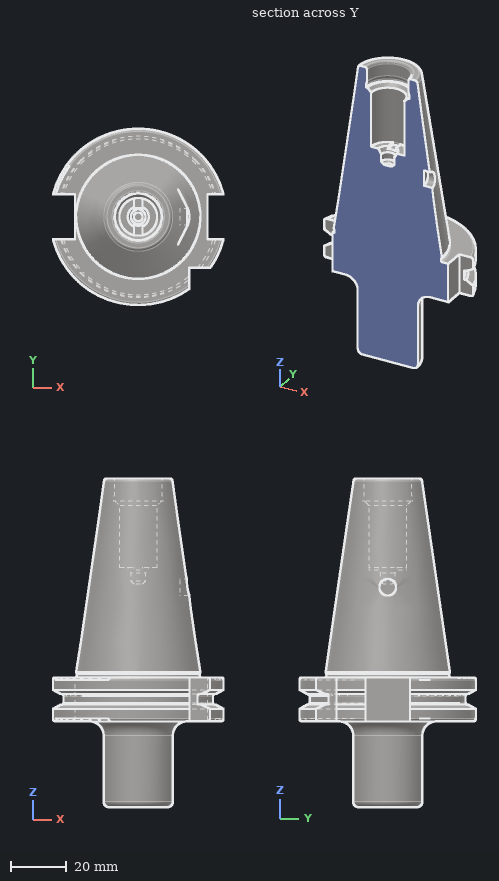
import cadquery as cq
import math


GAUGE_DIA = 44.45
TAPER_RATIO = 7 / 24
TAPER_TOP_Z = 68.4
TAPER_BASE_Z = -1.3
TAPER_TOP_FILLET = 1.2

RELIEF_DIA = 44.3
RELIEF_START_Z = -2.1
RELIEF_ROOT_RADIUS = 0.4

FLANGE_DIA = 63.55
FLANGE_TOP_Z = -3.2
FLANGE_BOTTOM_Z = -19.1
FLANGE_FILLET = 1.0
GROOVE_CENTRE_Z = -11.15
GROOVE_WIDTH = 6.9
GROOVE_STEP_DIA = 58.2
GROOVE_ROOT_DIA = 56.25
GROOVE_ANGLE = 30
GROOVE_ROOT_FILLET = 0.65

SHANK_DIA = 25.0
SHANK_END_Z = -50.0
SHANK_ROOT_FILLET = 5.0
SHANK_END_FILLET = 2.0

SLOT_WIDTH = 16.1
SLOT_FLOOR_LEFT = 22.8
SLOT_FLOOR_RIGHT = 25.0
NOTCH_OFFSET = 18.4

PILOT_DIA = 17.0
PILOT_DEPTH = 5.8
PILOT_MOUTH_FILLET = 0.9
BORE_RELIEF_DIA = 17.8
BORE_RELIEF_START_DEPTH = 7.3
BORE_RELIEF_END_DEPTH = 8.2
COUNTERSINK_DIA = 16.8
THREAD_BORE_DIA = 13.6
THREAD_BORE_DEPTH = 32.0

SEAT_SLOT_WIDTH = 3.2
SEAT_SLOT_DEPTH = 1.0
CENTRE_MOUTH_DIA = 7.6
CENTRE_MOUTH_DEPTH = 2.0
CENTRE_HOLE_DIA = 5.3
CENTRE_FLOOR_DIA = 3.2
CENTRE_HOLE_DEPTH = 6.0

POCKET_DIA = 6.0
POCKET_Z = 29.2
POCKET_DEPTH = 3.0


def taper_radius(z):
    return (GAUGE_DIA - TAPER_RATIO * z) / 2


def revolve_profile(points):
    """Revolve a closed (radius, z) outline about the Z axis."""
    return cq.Workplane("YZ").polyline(points).close().revolve(360, (0, 0, 0), (0, 1, 0))


def circle_edges(body, radius, z):
    """Pick the full-circle edges of a given radius at a given height."""
    tolerance = 1e-3

    def matches(edge):
        box = edge.BoundingBox()
        flat = box.zlen < tolerance and abs(box.center.z - z) < tolerance
        return flat and edge.geomType() == "CIRCLE" and abs(edge.radius() - radius) < tolerance

    return body.newObject([edge for edge in body.edges().vals() if matches(edge)])


def make_taper():
    relief = RELIEF_DIA / 2
    root_top_z = FLANGE_TOP_Z + RELIEF_ROOT_RADIUS
    body = (
        cq.Workplane("YZ")
        .moveTo(0, FLANGE_TOP_Z)
        .lineTo(relief + RELIEF_ROOT_RADIUS, FLANGE_TOP_Z)
        .radiusArc((relief, root_top_z), RELIEF_ROOT_RADIUS)
        .lineTo(relief, RELIEF_START_Z)
        .lineTo(taper_radius(TAPER_BASE_Z), TAPER_BASE_Z)
        .lineTo(taper_radius(TAPER_TOP_Z), TAPER_TOP_Z)
        .lineTo(0, TAPER_TOP_Z)
        .close()
        .revolve(360, (0, 0, 0), (0, 1, 0))
    )
    return body.faces(">Z").edges().fillet(TAPER_TOP_FILLET)


def make_flange_and_shank():
    rim = FLANGE_DIA / 2
    step = GROOVE_STEP_DIA / 2
    root = GROOVE_ROOT_DIA / 2
    half_width = GROOVE_WIDTH / 2
    half_root = half_width - (rim - step) * math.tan(math.radians(GROOVE_ANGLE))
    body = revolve_profile([
        (0, FLANGE_TOP_Z),
        (rim, FLANGE_TOP_Z),
        (rim, GROOVE_CENTRE_Z + half_width),
        (step, GROOVE_CENTRE_Z + half_root),
        (root, GROOVE_CENTRE_Z + half_root),
        (root, GROOVE_CENTRE_Z - half_root),
        (step, GROOVE_CENTRE_Z - half_root),
        (rim, GROOVE_CENTRE_Z - half_width),
        (rim, FLANGE_BOTTOM_Z),
        (SHANK_DIA / 2, FLANGE_BOTTOM_Z),
        (SHANK_DIA / 2, SHANK_END_Z),
        (0, SHANK_END_Z),
    ])
    rounded_edges = [
        (rim, FLANGE_TOP_Z, FLANGE_FILLET),
        (rim, FLANGE_BOTTOM_Z, FLANGE_FILLET),
        (root, GROOVE_CENTRE_Z + half_root, GROOVE_ROOT_FILLET),
        (root, GROOVE_CENTRE_Z - half_root, GROOVE_ROOT_FILLET),
        (SHANK_DIA / 2, FLANGE_BOTTOM_Z, SHANK_ROOT_FILLET),
        (SHANK_DIA / 2, SHANK_END_Z, SHANK_END_FILLET),
    ]
    for radius, z, fillet in rounded_edges:
        body = circle_edges(body, radius, z).fillet(fillet)
    return body


def flange_cutter(x_min, x_max, y_min, y_max):
    """Box through the full flange height."""
    return (
        cq.Workplane("XY", origin=(0, 0, FLANGE_BOTTOM_Z))
        .moveTo(x_min, y_min)
        .lineTo(x_max, y_min)
        .lineTo(x_max, y_max)
        .lineTo(x_min, y_max)
        .close()
        .extrude(FLANGE_TOP_Z - FLANGE_BOTTOM_Z)
    )


def make_flange_cuts():
    outside = FLANGE_DIA
    half_slot = SLOT_WIDTH / 2
    left_slot = flange_cutter(-outside, -SLOT_FLOOR_LEFT, -half_slot, half_slot)
    right_slot = flange_cutter(SLOT_FLOOR_RIGHT, outside, -half_slot, half_slot)
    notch = flange_cutter(NOTCH_OFFSET, outside, -outside, -NOTCH_OFFSET)
    return left_slot.union(right_slot).union(notch)


def make_bore():
    top = TAPER_TOP_Z
    seat = top - THREAD_BORE_DEPTH
    mouth = PILOT_DIA / 2 + PILOT_MOUTH_FILLET
    countersink_drop = (COUNTERSINK_DIA - THREAD_BORE_DIA) / 2
    return (
        cq.Workplane("YZ")
        .moveTo(0, top)
        .lineTo(mouth, top)
        .radiusArc((PILOT_DIA / 2, top - PILOT_MOUTH_FILLET), -PILOT_MOUTH_FILLET)
        .lineTo(PILOT_DIA / 2, top - PILOT_DEPTH)
        .lineTo(BORE_RELIEF_DIA / 2, top - BORE_RELIEF_START_DEPTH)
        .lineTo(BORE_RELIEF_DIA / 2, top - BORE_RELIEF_END_DEPTH)
        .lineTo(COUNTERSINK_DIA / 2, top - BORE_RELIEF_END_DEPTH)
        .lineTo(THREAD_BORE_DIA / 2, top - BORE_RELIEF_END_DEPTH - countersink_drop)
        .lineTo(THREAD_BORE_DIA / 2, seat)
        .lineTo(0, seat)
        .close()
        .revolve(360, (0, 0, 0), (0, 1, 0))
    )


def make_seat_cuts():
    seat = TAPER_TOP_Z - THREAD_BORE_DEPTH
    floor = seat - CENTRE_HOLE_DEPTH
    floor_rise = (CENTRE_HOLE_DIA - CENTRE_FLOOR_DIA) / 2
    centre_hole = revolve_profile([
        (0, seat),
        (CENTRE_MOUTH_DIA / 2, seat),
        (CENTRE_HOLE_DIA / 2, seat - CENTRE_MOUTH_DEPTH),
        (CENTRE_HOLE_DIA / 2, floor + floor_rise),
        (CENTRE_FLOOR_DIA / 2, floor),
        (0, floor),
    ])
    seat_plane = cq.Workplane("XY", origin=(0, 0, seat))
    bore_column = seat_plane.circle(THREAD_BORE_DIA / 2).extrude(-SEAT_SLOT_DEPTH)
    slot = seat_plane.rect(SEAT_SLOT_WIDTH, THREAD_BORE_DIA).extrude(-SEAT_SLOT_DEPTH)
    return centre_hole.union(slot.intersect(bore_column))


def make_side_pocket():
    floor_x = taper_radius(POCKET_Z) - POCKET_DEPTH
    return (
        cq.Workplane("YZ", origin=(floor_x, 0, POCKET_Z))
        .circle(POCKET_DIA / 2)
        .extrude(2 * POCKET_DEPTH)
    )


result = (
    make_taper()
    .union(make_flange_and_shank())
    .cut(make_flange_cuts())
    .cut(make_bore())
    .cut(make_seat_cuts())
    .cut(make_side_pocket())
)